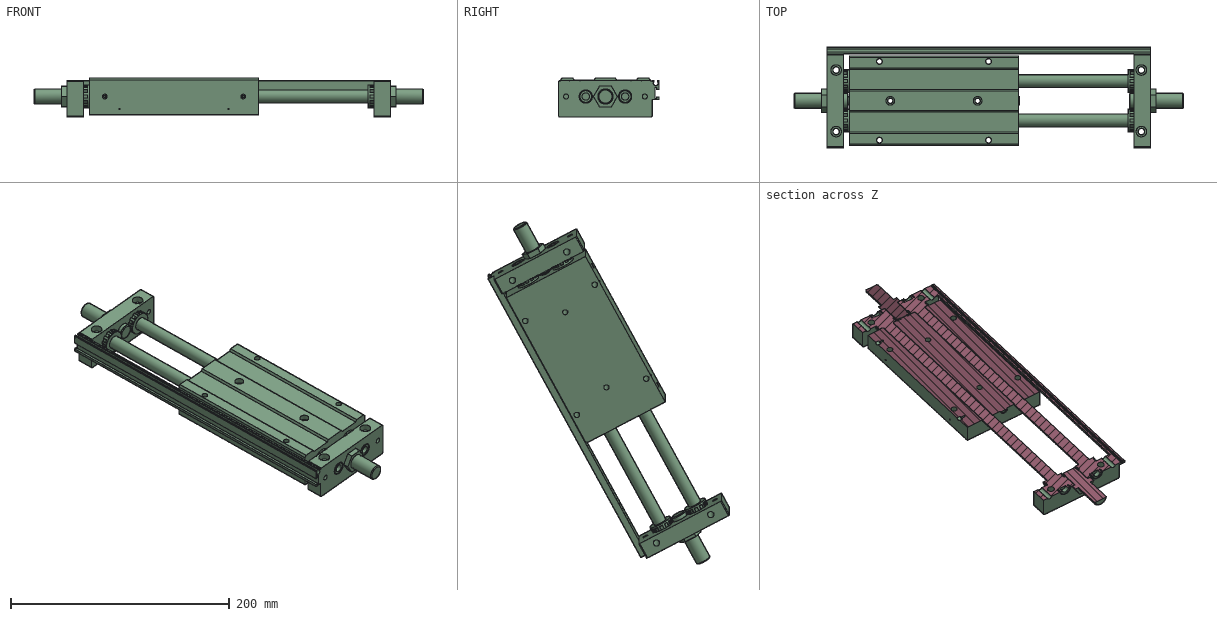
import cadquery as cq
import math


ROD_D = 12.0
ROD_SPACING = 36.0

FRAME_L = 296.5
PLATE_T = 15.5
PLATE_W = 86.0
PLATE_TOP = 14.5
PLATE_BOTTOM = -19.0
PLATE_CHAMFER = 1.0
PLATE_BOLT_SPACING = 56.5
PLATE_BOLT_INSET = 8.5
PLATE_BOLT_D = 5.7
PLATE_BOLT_HEAD_D = 9.5
PLATE_BOLT_HEAD_DEPTH = 6.0
PLATE_SIDE_HOLE_D = 4.5
PLATE_SIDE_HOLE_SPACING = 72.0
SCREW_HEAD_D = 10.7
SCREW_SOCKET_D = 6.8
SCREW_RECESS_DEPTH = 4.3

BUMPER_D = 21.0
BUMPER_L = 5.5
BUMPER_FLANGE_T = 1.8
TOOTH_COUNT = 12
TOOTH_GAP_W = 3.0
TOOTH_GAP_DEPTH = 1.0

RAIL_W = 6.0
RAIL_BOTTOM = -3.0
RAIL_CHANNEL_D = 4.3
RAIL_CHANNEL_Z = 12.0
RAIL_MOUTH_W = 3.0
RAIL_SLOT_DEPTH = 3.5
RAIL_LIP_T = 2.0
RAIL_SLOT_BOTTOM = -1.8
RAIL_SLOT_TOP = 8.2
RAIL_SLOT_MOUTH_BOTTOM = -0.5
RAIL_SLOT_MOUTH_TOP = 6.5

CARRIAGE_L = 155.0
CARRIAGE_W = 82.0
CARRIAGE_TOP = 17.0
CARRIAGE_BOTTOM = -16.8
CARRIAGE_SLOPE_W = 1.5
CARRIAGE_SLOPE_H = 1.95
GROOVE_INNER_Y = 9.0
GROOVE_OUTER_Y = 28.5
CORNER_HOLE_D = 5.0
CORNER_HOLE_SPACING = 100.0
CORNER_HOLE_ROW_SPACING = 72.0
CENTRE_HOLE_D = 4.5
CENTRE_HOLE_HEAD_D = 8.0
CENTRE_HOLE_HEAD_DEPTH = 5.0
CENTRE_HOLE_SPACING = 80.0
SIDE_HOLE_D = 4.3
SIDE_HOLE_DEPTH = 3.5
SIDE_HOLE_CORE_D = 2.0
SIDE_HOLE_CORE_DEPTH = 7.0
SIDE_HOLE_SPACING = 126.7
PIN_HOLE_D = 1.0
PIN_HOLE_DEPTH = 1.8
PIN_HOLE_Z = -11.5
ANVIL_D = 8.0
ANVIL_H = 1.0

OVERALL_L = 357.0
STOP_D = 14.0
STOP_CHAMFER = 0.9
NUT_FLATS = 19.0
NUT_T = 5.0

PLATE_INNER_X = FRAME_L / 2 - PLATE_T
PLATE_BACK_Y = PLATE_W / 2
BUMPER_FACE_X = PLATE_INNER_X - BUMPER_L
CARRIAGE_X0 = -BUMPER_FACE_X
CARRIAGE_X = CARRIAGE_X0 + CARRIAGE_L / 2
STOP_TIP_X = BUMPER_FACE_X + ANVIL_H
SIDES = (-1, 1)


def x_cylinder(diameter, x_start, x_end, y=0.0):
    """Cylinder along X at height Z = 0."""
    return cq.Workplane("YZ", origin=(x_start, y, 0)).circle(diameter / 2).extrude(x_end - x_start)


def end_plate():
    """Plate at the +X end with its bolt holes, rod screws and stop screw bore."""
    outer_x = FRAME_L / 2
    height = PLATE_TOP - PLATE_BOTTOM
    plate = (
        cq.Workplane("XY", origin=(outer_x - PLATE_T / 2, 0, PLATE_BOTTOM))
        .box(PLATE_T, PLATE_W, height, centered=(True, True, False))
        .edges("|X")
        .chamfer(PLATE_CHAMFER)
    )
    plate = (
        plate.faces(">Z")
        .workplane(origin=(outer_x - PLATE_BOLT_INSET, 0, PLATE_TOP))
        .rarray(3.5, PLATE_BOLT_SPACING, 1, 2)
        .cboreHole(PLATE_BOLT_D, PLATE_BOLT_HEAD_D, PLATE_BOLT_HEAD_DEPTH)
    )
    plate = plate.cut(x_cylinder(STOP_D, PLATE_INNER_X, outer_x))
    for side in SIDES:
        hole_y = side * PLATE_SIDE_HOLE_SPACING / 2
        plate = plate.cut(x_cylinder(PLATE_SIDE_HOLE_D, PLATE_INNER_X, outer_x, hole_y))
        rod_y = side * ROD_SPACING / 2
        recess_x = outer_x - SCREW_RECESS_DEPTH
        recess = x_cylinder(ROD_D, recess_x, outer_x, rod_y)
        head = x_cylinder(SCREW_HEAD_D, recess_x, outer_x, rod_y)
        socket = x_cylinder(SCREW_SOCKET_D, recess_x, outer_x, rod_y)
        plate = plate.cut(recess.cut(head)).cut(socket)
    return plate


def bumper(rod_y):
    """Toothed collar with a plain flange, on a rod at the +X plate."""
    collar = x_cylinder(BUMPER_D, BUMPER_FACE_X, PLATE_INNER_X, rod_y)
    teeth_l = BUMPER_L - BUMPER_FLANGE_T
    gaps = (
        cq.Workplane("YZ", origin=(PLATE_INNER_X - teeth_l, rod_y, 0))
        .polarArray(BUMPER_D / 2, 0, 360, TOOTH_COUNT)
        .rect(2 * TOOTH_GAP_DEPTH, TOOTH_GAP_W)
        .extrude(teeth_l)
    )
    return collar.cut(gaps)


def switch_rail():
    """Profile with a round cable channel on top and a T-slot in its +Y face."""
    front_y = PLATE_BACK_Y + RAIL_W
    lip_y = front_y - RAIL_LIP_T
    floor_y = front_y - RAIL_SLOT_DEPTH
    channel_y = PLATE_BACK_Y + RAIL_W / 2
    profile = (
        cq.Workplane("YZ", origin=(-FRAME_L / 2, 0, 0))
        .moveTo(PLATE_BACK_Y, RAIL_BOTTOM)
        .lineTo(front_y, RAIL_BOTTOM)
        .lineTo(front_y, RAIL_SLOT_MOUTH_BOTTOM)
        .lineTo(lip_y, RAIL_SLOT_MOUTH_BOTTOM)
        .lineTo(lip_y, RAIL_SLOT_BOTTOM)
        .lineTo(floor_y, RAIL_SLOT_BOTTOM)
        .lineTo(floor_y, RAIL_SLOT_TOP)
        .lineTo(lip_y, RAIL_SLOT_TOP)
        .lineTo(lip_y, RAIL_SLOT_MOUTH_TOP)
        .lineTo(front_y, RAIL_SLOT_MOUTH_TOP)
        .lineTo(front_y, PLATE_TOP)
        .lineTo(PLATE_BACK_Y, PLATE_TOP)
        .close()
    )
    channel = (
        cq.Workplane("YZ", origin=(-FRAME_L / 2, channel_y, RAIL_CHANNEL_Z))
        .circle(RAIL_CHANNEL_D / 2)
        .extrude(FRAME_L)
    )
    mouth = cq.Workplane("XY", origin=(0, channel_y, RAIL_CHANNEL_Z)).box(
        FRAME_L, RAIL_MOUTH_W, PLATE_TOP - RAIL_CHANNEL_Z, centered=(True, True, False)
    )
    return profile.extrude(FRAME_L).cut(channel).cut(mouth)


def make_frame():
    """Rods, end plates, bumpers and switch rail as one body."""
    half = end_plate()
    for side in SIDES:
        half = half.union(bumper(side * ROD_SPACING / 2))
    frame = half.union(half.mirror("YZ"))
    for side in SIDES:
        frame = frame.union(x_cylinder(ROD_D, -PLATE_INNER_X, PLATE_INNER_X, side * ROD_SPACING / 2))
    return frame.union(switch_rail())


def carriage_block():
    """Block with sloped top edges and two shallow sloped grooves along its top."""
    half_w = CARRIAGE_W / 2
    floor_z = CARRIAGE_TOP - CARRIAGE_SLOPE_H
    right_side = [
        (half_w, CARRIAGE_BOTTOM),
        (half_w, floor_z),
        (half_w - CARRIAGE_SLOPE_W, CARRIAGE_TOP),
        (GROOVE_OUTER_Y + CARRIAGE_SLOPE_W, CARRIAGE_TOP),
        (GROOVE_OUTER_Y, floor_z),
        (GROOVE_INNER_Y + CARRIAGE_SLOPE_W, floor_z),
        (GROOVE_INNER_Y, CARRIAGE_TOP),
    ]
    left_side = [(-y, z) for y, z in reversed(right_side)]
    return (
        cq.Workplane("YZ", origin=(CARRIAGE_X0, 0, 0))
        .polyline(right_side + left_side)
        .close()
        .extrude(CARRIAGE_L)
    )


def make_carriage():
    """Carriage with rod bores, mounting holes and an anvil on each end."""
    carriage_x1 = CARRIAGE_X0 + CARRIAGE_L
    carriage = carriage_block()
    for side in SIDES:
        carriage = carriage.cut(x_cylinder(ROD_D, CARRIAGE_X0, carriage_x1, side * ROD_SPACING / 2))

    top = cq.Workplane("XY", origin=(CARRIAGE_X, 0, CARRIAGE_TOP))
    depth = CARRIAGE_TOP - CARRIAGE_BOTTOM
    corner_holes = (
        top.rarray(CORNER_HOLE_SPACING, CORNER_HOLE_ROW_SPACING, 2, 2)
        .circle(CORNER_HOLE_D / 2)
        .extrude(-depth)
    )
    centre_holes = top.rarray(CENTRE_HOLE_SPACING, 3.5, 2, 1).circle(CENTRE_HOLE_D / 2).extrude(-depth)
    centre_heads = (
        top.rarray(CENTRE_HOLE_SPACING, 3.5, 2, 1)
        .circle(CENTRE_HOLE_HEAD_D / 2)
        .extrude(-CENTRE_HOLE_HEAD_DEPTH)
    )
    carriage = carriage.cut(corner_holes).cut(centre_holes).cut(centre_heads)

    front = cq.Workplane("XZ", origin=(CARRIAGE_X, -CARRIAGE_W / 2, 0))
    side_holes = (
        front.rarray(SIDE_HOLE_SPACING, 3.5, 2, 1).circle(SIDE_HOLE_D / 2).extrude(-SIDE_HOLE_DEPTH)
    )
    side_cores = (
        front.rarray(SIDE_HOLE_SPACING, 3.5, 2, 1)
        .circle(SIDE_HOLE_CORE_D / 2)
        .extrude(-SIDE_HOLE_CORE_DEPTH)
    )
    pin_holes = (
        front.center(0, PIN_HOLE_Z)
        .rarray(CORNER_HOLE_SPACING, 3.5, 2, 1)
        .circle(PIN_HOLE_D / 2)
        .extrude(-PIN_HOLE_DEPTH)
    )
    carriage = carriage.cut(side_holes).cut(side_cores).cut(pin_holes)

    left_anvil = x_cylinder(ANVIL_D, CARRIAGE_X0 - ANVIL_H, CARRIAGE_X0)
    right_anvil = x_cylinder(ANVIL_D, carriage_x1, carriage_x1 + ANVIL_H)
    return carriage.union(left_anvil).union(right_anvil)


def make_stop_screw(side):
    """Stop screw with its lock nut, at the end given by side (-1 or 1)."""
    screw = x_cylinder(STOP_D, STOP_TIP_X, OVERALL_L / 2).faces("<X or >X").chamfer(STOP_CHAMFER)
    nut = (
        cq.Workplane("YZ", origin=(FRAME_L / 2, 0, 0))
        .polygon(6, NUT_FLATS / math.cos(math.radians(30)))
        .extrude(NUT_T)
    )
    stop_screw = screw.union(nut)
    if side < 0:
        stop_screw = stop_screw.mirror("YZ")
    return stop_screw


frame = make_frame()
carriage = make_carriage()
stop_screws = [make_stop_screw(side) for side in SIDES]

result = cq.Compound.makeCompound(
    [frame.val(), carriage.val(), *[screw.val() for screw in stop_screws]]
)